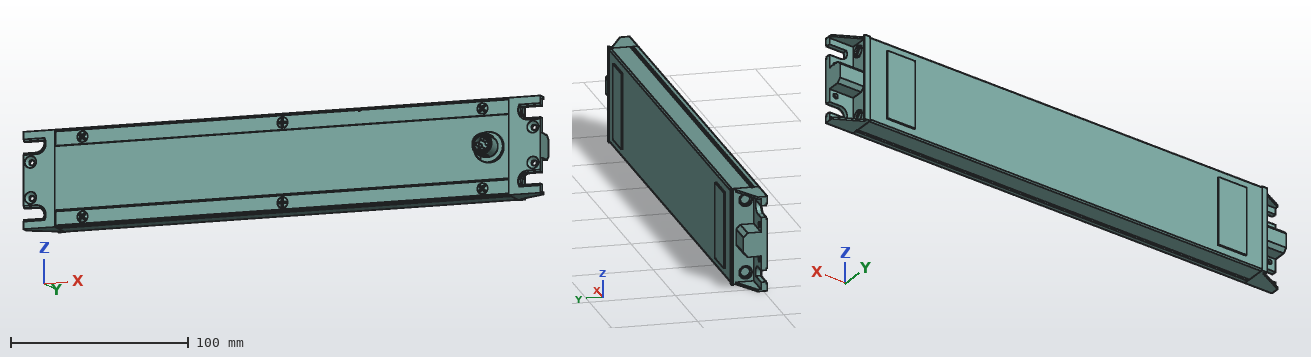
import cadquery as cq
import math

length = 310.0
width = 55.8
depth = 16.7
cap_length = 19.0
half_length = length / 2
half_width = width / 2
joint_x = half_length - cap_length

back_chamfer = 1.0
side_groove_near = 2.8
side_groove_far = 4.5
side_groove_depth = 1.2
panel_half_width = 18.3
panel_flare = 0.5
strip_depth = 1.2
edge_lip = 1.0
pad_length = 19.2
pad_width = 44.5
pad_height = 1.0
pad_x = 115.0

screw_xs = (-120.0, 0.0, 120.0)
screw_z = 23.0
screw_radius = 3.0
cross_length = 5.0
cross_width = 1.0
cross_depth = 1.0

plate_thickness = 3.7
wall_offset = 16.5
lip_offset = 15.2
lip_thickness = 1.0
gusset_thickness = 1.2
gusset_outer_height = 5.5
gusset_inner_height = 14.3
block_width = 14.3
block_height = 14.0
block_chamfer = 2.5
slot_step_depth = 0.5
slot_step = 1.1
slot_top_z = 23.5
slot_round_x = 7.5
slot_round_z = 20.5
slot_radius = 6.0
small_hole_offset = 4.3
small_hole_z = 10.2
small_hole_radius = 1.5
countersink_radius = 3.5
countersink_depth = 2.0
bolt_y = 8.5
bolt_z = 21.5
bolt_recess_radius = 3.7
bolt_recess_depth = 1.2
bolt_hole_radius = 2.8
bolt_hole_depth = 2.0

connector_x = 124.5
connector_length = 13.0
flange_radius = 8.7
flange_thickness = 2.2
flange_flat_offset = 4.5
flange_flat_depth = 0.3
notch_width = 3.5
notch_depth = 1.2
barrel_radius = 6.0
barrel_chamfer = 0.5
grip_radius = 6.5
grip_groove_radius = 6.2
grip_start = 5.3
grip_end = 10.5
grip_half_angle = 42.0
grip_angles = (90.0, 243.0)
grip_groove_count = 3
grip_groove_width = 0.5
bore_radius = 4.3
bore_depth = 6.2
pin_radius = 1.0
pin_circle_radius = 2.8
pin_count = 4
pin_length = 5.3


def box(x0, x1, y0, y1, z0, z1):
    """Block spanning the given X, Y and Z ranges."""
    return cq.Workplane("XY").box(x1 - x0, y1 - y0, z1 - z0, centered=False).translate((x0, y0, z0))


def rod(radius, x, z, y0, y1):
    """Cylinder along Y from y0 to y1."""
    return cq.Workplane("XY").add(
        cq.Solid.makeCylinder(radius, y1 - y0, cq.Vector(x, y0, z), cq.Vector(0, 1, 0))
    )


def housing_profile():
    """Cross-section in Y and Z: a raised middle panel between two sunken screw strips,
    a thin lip along each long edge, a ramped groove in each side and chamfered back edges.
    """
    upper_side = [
        (0, panel_half_width),
        (strip_depth, panel_half_width + panel_flare),
        (strip_depth, half_width - edge_lip),
        (0, half_width - edge_lip),
        (0, half_width),
        (side_groove_near, half_width),
        (side_groove_near, half_width - side_groove_depth),
        (side_groove_far, half_width),
        (depth - back_chamfer, half_width),
        (depth, half_width - back_chamfer),
    ]
    lower_side = [(y, -z) for y, z in reversed(upper_side)]
    return upper_side + lower_side


def cover_screw(x, z, turn):
    """Domed screw head on a screw strip, level with the panel, with a cross recess."""
    dome_mid = (screw_radius / 2, strip_depth / 4)
    head = (
        cq.Workplane("XY")
        .moveTo(0, strip_depth)
        .lineTo(0, 0)
        .threePointArc(dome_mid, (screw_radius, strip_depth))
        .close()
        .revolve(360, (0, 0, 0), (0, 1, 0))
    )
    arm = box(-cross_length / 2, cross_length / 2, 0, cross_depth, -cross_width / 2, cross_width / 2)
    for arm_turn in (0, 90):
        head = head.cut(arm.rotate((0, 0, 0), (0, 1, 0), arm_turn + turn))
    return head.translate((x, 0, z))


def make_housing():
    body = (
        cq.Workplane("YZ")
        .workplane(offset=-joint_x)
        .polyline(housing_profile())
        .close()
        .extrude(2 * joint_x)
    )
    for side in (-1, 1):
        pad_start = side * pad_x - pad_length / 2
        body = body.union(
            box(pad_start, pad_start + pad_length, depth, depth + pad_height, -pad_width / 2, pad_width / 2)
        )
        for x in screw_xs:
            turn = 0 if x == 0 else 45
            body = body.union(cover_screw(x, side * screw_z, turn))
    return body


def mounting_slot(inset, y0, y1):
    """Open slot with one straight upper wall and a round inner end, shrunk by inset."""
    radius = slot_radius - inset
    top_z = slot_top_z - inset
    straight = box(0, slot_round_x, y0, y1, slot_round_z - radius, top_z)
    round_end = rod(radius, slot_round_x, slot_round_z, y0, y1)
    below_top = box(0, cap_length, y0, y1, 0, top_z)
    return straight.union(round_end.intersect(below_top))


def cap_cutters():
    """Everything removed from the upper (positive Z) half of a cap."""
    cutter = mounting_slot(0, 0, slot_step_depth)
    cutter = cutter.union(mounting_slot(slot_step, 0, plate_thickness))
    cutter = cutter.union(rod(small_hole_radius, small_hole_offset, small_hole_z, 0, plate_thickness))
    countersink = cq.Solid.makeCone(
        countersink_radius, small_hole_radius, countersink_depth,
        cq.Vector(small_hole_offset, 0, small_hole_z), cq.Vector(0, 1, 0),
    )
    cutter = cutter.union(cq.Workplane("XY").add(countersink))
    for radius, reach in ((bolt_recess_radius, bolt_recess_depth), (bolt_hole_radius, bolt_hole_depth)):
        bolt = cq.Solid.makeCylinder(
            radius, reach, cq.Vector(wall_offset, bolt_y, bolt_z), cq.Vector(1, 0, 0)
        )
        cutter = cutter.union(cq.Workplane("XY").add(bolt))
    return cutter


def make_cap():
    """Foot plate, upright wall with back lip, two side gussets and a central block."""
    cap = box(0, cap_length, 0, plate_thickness, -half_width, half_width)
    cap = cap.union(box(wall_offset, cap_length, 0, depth, -half_width, half_width))
    cap = cap.union(box(lip_offset, cap_length, depth - lip_thickness, depth, -half_width, half_width))
    gusset = (
        cq.Workplane("XY")
        .polyline([(0, 0), (wall_offset, 0), (wall_offset, gusset_inner_height), (0, gusset_outer_height)])
        .close()
        .extrude(gusset_thickness)
    )
    cap = cap.union(gusset.translate((0, 0, -half_width)))
    cap = cap.union(gusset.translate((0, 0, half_width - gusset_thickness)))
    block = box(0, wall_offset, 0, block_height, -block_width / 2, block_width / 2)
    cap = cap.union(block.edges("|X and >Y").chamfer(block_chamfer))
    cutter = cap_cutters()
    return cap.cut(cutter).cut(cutter.mirror("XY"))


def grip(angle):
    """Raised patch on the barrel, crossed by grooves that follow the barrel's round."""
    reach = 2 * grip_radius
    half = math.radians(grip_half_angle)
    sector = (
        cq.Workplane("XZ")
        .workplane(offset=grip_start)
        .polyline([
            (0, 0),
            (reach * math.cos(half), -reach * math.sin(half)),
            (reach * math.cos(half), reach * math.sin(half)),
        ])
        .close()
        .extrude(grip_end - grip_start)
        .rotate((0, 0, 0), (0, 1, 0), -angle)
    )
    patch = rod(grip_radius, 0, 0, -grip_end, -grip_start).intersect(sector)
    pitch = (grip_end - grip_start) / (grip_groove_count + 1)
    for i in range(grip_groove_count):
        groove_y = -grip_start - (i + 1) * pitch
        groove_start = groove_y - grip_groove_width / 2
        groove_end = groove_y + grip_groove_width / 2
        groove = rod(grip_radius, 0, 0, groove_start, groove_end)
        patch = patch.cut(groove.cut(rod(grip_groove_radius, 0, 0, groove_start, groove_end)))
    return patch


def make_connector():
    flange = rod(flange_radius, 0, 0, -flange_thickness, 0)
    flange = flange.cut(
        box(-flange_radius, -flange_flat_offset, -flange_thickness, flange_flat_depth - flange_thickness,
            -flange_radius, flange_radius)
    )
    flange = flange.cut(
        box(-flange_radius, -barrel_radius, -flange_thickness, notch_depth - flange_thickness,
            -notch_width / 2, notch_width / 2)
    )
    barrel = rod(barrel_radius, 0, 0, -connector_length, 0).faces("<Y").edges().chamfer(barrel_chamfer)
    body = flange.union(barrel)
    for angle in grip_angles:
        body = body.union(grip(angle))
    bore_floor = bore_depth - connector_length
    body = body.cut(rod(bore_radius, 0, 0, -connector_length, bore_floor))
    for i in range(pin_count):
        angle = 2 * math.pi * i / pin_count
        pin_x = pin_circle_radius * math.cos(angle)
        pin_z = pin_circle_radius * math.sin(angle)
        body = body.union(rod(pin_radius, pin_x, pin_z, bore_floor - pin_length, bore_floor))
    return body.translate((connector_x, 0, 0))


housing = make_housing()
left_cap = make_cap().translate((-half_length, 0, 0))
right_cap = left_cap.mirror("YZ")
connector = make_connector()

result = cq.Compound.makeCompound(
    [housing.val(), left_cap.val(), right_cap.val(), connector.val()]
)